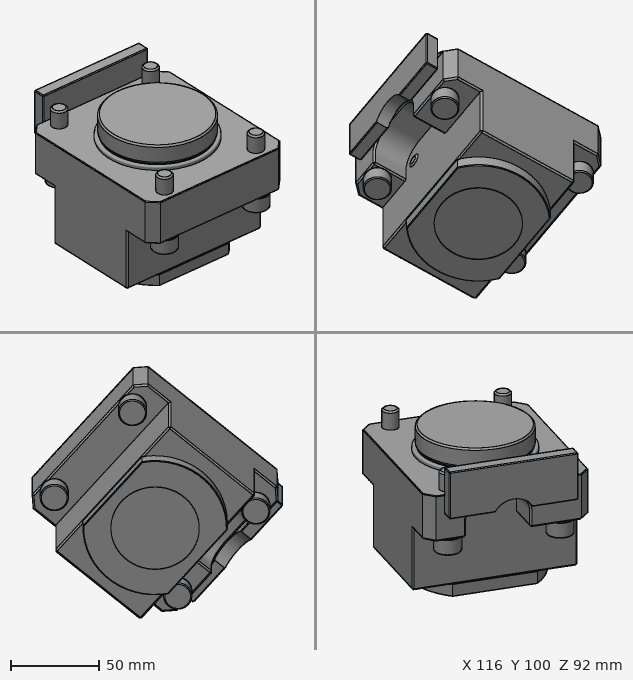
import cadquery as cq
import math

total_length = 116.0
total_height = 92.0
lens_height = 0.5
body_bottom = 8.1
flange_bottom = 46.5
flange_top = 74.8

flange_length = 108.0
depth = 100.0
flange_corner = 6.0
flange_top_chamfer = 0.5
edge_chamfer = 1.0
body_length = 64.0

opening_radius = 13.0
opening_end_shift = 12.8
opening_axis_z = 56.3
nipple_y = 17.7
nipple_base_diameter = 8.1
nipple_tip_diameter = 4.9
nipple_height = 0.7

plate_length = 78.0
plate_thickness = total_length - flange_length
plate_height = 29.0
plate_chamfer = 0.6
plate_notch_radius = 13.3

screw_spacing_x = 92.0
screw_spacing_y = 68.0
shank_diameter = 10.0
shank_top = 86.3
shank_chamfer = 1.0
head_diameter = 16.0
head_height = 10.0
head_bottom_chamfer = 0.7
head_top_chamfer = 0.5

collar_diameter = 72.0
collar_height = 2.2
collar_fillet = 0.8
cap_diameter = 68.0
neck_diameter = 66.7
cap_bottom = 77.7
cap_top = 90.0
cap_chamfer = 1.0
cap_bevel_height = 1.3

foot_diameter = 81.9
foot_width = 63.8
foot_draft_angle = 1.0
foot_chamfer = 0.5
lens_diameter = 50.0


def cylinder(diameter, bottom, top):
    return cq.Workplane("XY").workplane(offset=bottom).circle(diameter / 2).extrude(top - bottom)


def make_flange():
    """Plate with bevelled corners and a round-topped opening in its -X side."""
    flange = (
        cq.Workplane("XY")
        .workplane(offset=flange_bottom)
        .rect(flange_length, depth)
        .extrude(flange_top - flange_bottom)
        .edges("|Z")
        .chamfer(flange_corner)
        .faces(">Z")
        .chamfer(flange_top_chamfer)
    )
    near_end = -opening_radius
    far_end = opening_end_shift + opening_radius
    opening = (
        cq.Workplane("YZ")
        .workplane(offset=-flange_length / 2)
        .moveTo(near_end, flange_bottom)
        .lineTo(near_end, opening_axis_z)
        .radiusArc((0, opening_axis_z + opening_radius), opening_radius)
        .lineTo(opening_end_shift, opening_axis_z + opening_radius)
        .radiusArc((far_end, opening_axis_z), opening_radius)
        .lineTo(far_end, flange_bottom)
        .close()
        .extrude((flange_length - body_length) / 2)
    )
    flange = flange.cut(opening)
    margin = edge_chamfer
    mouth_box = cq.selectors.BoxSelector(
        (-flange_length / 2 - margin, near_end - margin, flange_bottom + margin),
        (-flange_length / 2 + margin, far_end + margin, flange_top - margin),
    )
    mouth_edges = flange.faces("<X").edges(mouth_box)
    return mouth_edges.add(flange.faces("<Z").edges()).chamfer(edge_chamfer)


def make_body():
    """Block under the flange, running up through it to its top chamfer."""
    return (
        cq.Workplane("XY")
        .workplane(offset=body_bottom)
        .rect(body_length, depth)
        .extrude(flange_top - flange_top_chamfer - body_bottom)
        .edges("|Z or <Z")
        .chamfer(edge_chamfer)
    )


def make_nipple():
    """Small cone on the back wall of the flange opening."""
    return (
        cq.Workplane("YZ", origin=(-body_length / 2, nipple_y, opening_axis_z))
        .circle(nipple_base_diameter / 2)
        .workplane(offset=-nipple_height)
        .circle(nipple_tip_diameter / 2)
        .loft(ruled=True)
    )


def make_side_plate():
    """Upright plate on the -X side, with a round notch over the opening."""
    centre_x = -(flange_length + plate_thickness) / 2
    plate = (
        cq.Workplane("XY", origin=(centre_x, 0, total_height - plate_height / 2))
        .box(plate_thickness, plate_length, plate_height)
        .edges()
        .chamfer(plate_chamfer)
    )
    notch = (
        cq.Workplane("YZ", origin=(centre_x, 0, opening_axis_z))
        .circle(plate_notch_radius)
        .extrude(plate_thickness, both=True)
    )
    return plate.cut(notch)


def make_screws():
    """Four screws: heads under the flange, shank ends above it."""
    head_bottom = flange_bottom - head_height
    shank = cylinder(shank_diameter, head_bottom, shank_top).faces(">Z").chamfer(shank_chamfer)
    head = (
        cylinder(head_diameter, head_bottom, flange_bottom)
        .faces("<Z")
        .chamfer(head_bottom_chamfer)
        .faces(">Z")
        .chamfer(head_top_chamfer)
    )
    screw = head.union(shank).val()
    return (
        cq.Workplane("XY")
        .rarray(screw_spacing_x, screw_spacing_y, 2, 2)
        .eachpoint(lambda place: screw.moved(place), combine=False)
    )


def make_cap():
    """Collar, narrow neck and cap, turned as one profile about the Z axis."""
    collar_radius = collar_diameter / 2
    neck_radius = neck_diameter / 2
    cap_radius = cap_diameter / 2
    collar_top = flange_top + collar_height
    return (
        cq.Workplane("XZ")
        .moveTo(0, flange_top)
        .lineTo(collar_radius, flange_top)
        .lineTo(collar_radius, collar_top - collar_fillet)
        .radiusArc((collar_radius - collar_fillet, collar_top), -collar_fillet)
        .lineTo(neck_radius, collar_top)
        .lineTo(neck_radius, cap_bottom)
        .lineTo(cap_radius, cap_bottom + cap_bevel_height)
        .lineTo(cap_radius, cap_top - cap_chamfer)
        .lineTo(cap_radius - cap_chamfer, cap_top)
        .lineTo(0, cap_top)
        .close()
        .revolve()
    )


def make_foot():
    """Round foot with two flats, drafted towards its lower end, plus the lens disc."""
    radius = foot_diameter / 2
    flat_x = foot_width / 2
    flat_y = math.sqrt(radius**2 - flat_x**2)
    foot = (
        cq.Workplane("XY")
        .workplane(offset=body_bottom)
        .moveTo(-flat_x, -flat_y)
        .threePointArc((0, -radius), (flat_x, -flat_y))
        .lineTo(flat_x, flat_y)
        .threePointArc((0, radius), (-flat_x, flat_y))
        .close()
        .extrude(lens_height - body_bottom, taper=foot_draft_angle)
        .faces("<Z")
        .chamfer(foot_chamfer)
    )
    return foot.union(cylinder(lens_diameter, 0, lens_height))


result = (
    make_flange()
    .union(make_body())
    .union(make_nipple())
    .union(make_side_plate())
    .union(make_screws())
    .union(make_cap())
    .union(make_foot())
)